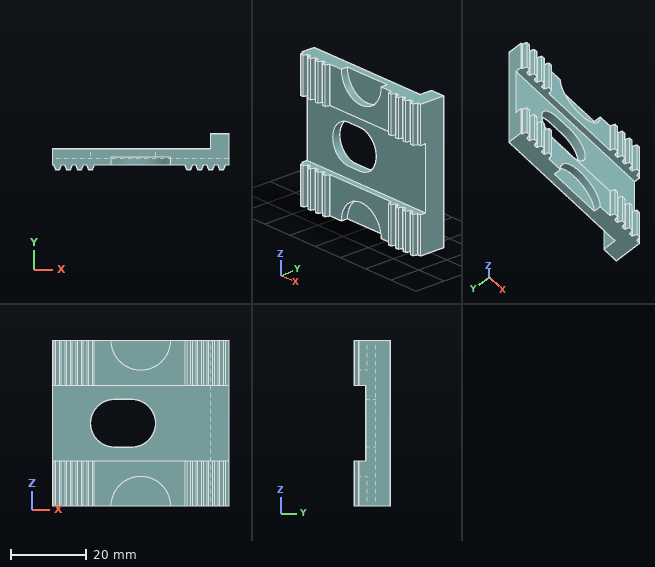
import cadquery as cq

length = 47.0
height = 44.0
total_depth = 9.7
tooth_height = 1.3
lip_rise = 4.0
lip_width = 5.0
plate_back = total_depth - lip_rise

tooth_pitch = 2.9
teeth_per_group = 4
tooth_root_width = 1.95
tooth_foot_height = 0.2
tooth_tip_width = 1.05
first_tooth_centers = (1.4, 36.25)

channel_height = 20.0
channel_depth = 3.1
pocket_radius = 7.9
pocket_depth = 3.5

slot_length = 17.2
slot_width = 12.65
slot_center_x = 18.8


def make_plate():
    """L-shaped plate with the lip rising from the back of its +X end."""
    return (
        cq.Workplane("XY")
        .moveTo(0, tooth_height)
        .lineTo(length, tooth_height)
        .lineTo(length, total_depth)
        .lineTo(length - lip_width, total_depth)
        .lineTo(length - lip_width, plate_back)
        .lineTo(0, plate_back)
        .close()
        .extrude(height)
    )


def make_tooth(center_x):
    """Full-height tooth: a straight-sided foot under a trapezoidal crest."""
    half_root = tooth_root_width / 2
    foot_end = tooth_height - tooth_foot_height
    half_tip = tooth_tip_width / 2
    return (
        cq.Workplane("XY")
        .moveTo(center_x - half_root, tooth_height)
        .lineTo(center_x - half_root, foot_end)
        .lineTo(center_x - half_tip, 0)
        .lineTo(center_x + half_tip, 0)
        .lineTo(center_x + half_root, foot_end)
        .lineTo(center_x + half_root, tooth_height)
        .close()
        .extrude(height)
    )


def make_channel():
    """Block that clears the middle of the toothed face along X."""
    return (
        cq.Workplane("XY")
        .box(length, channel_depth, channel_height, centered=(False, False, True))
        .translate((0, 0, height / 2))
    )


def make_pocket(center_z):
    """Disc centered on a plate edge, which leaves a half-round pocket."""
    return (
        cq.Workplane("XZ")
        .center(length / 2, center_z)
        .circle(pocket_radius)
        .extrude(-pocket_depth)
    )


def make_slot():
    """Round-ended slot through the plate."""
    return (
        cq.Workplane("XZ")
        .center(slot_center_x, height / 2)
        .slot2D(slot_length, slot_width)
        .extrude(-total_depth)
    )


result = make_plate()
for first_center in first_tooth_centers:
    for index in range(teeth_per_group):
        result = result.union(make_tooth(first_center + index * tooth_pitch))

result = result.cut(make_channel())
for edge_z in (0, height):
    result = result.cut(make_pocket(edge_z))
result = result.cut(make_slot())